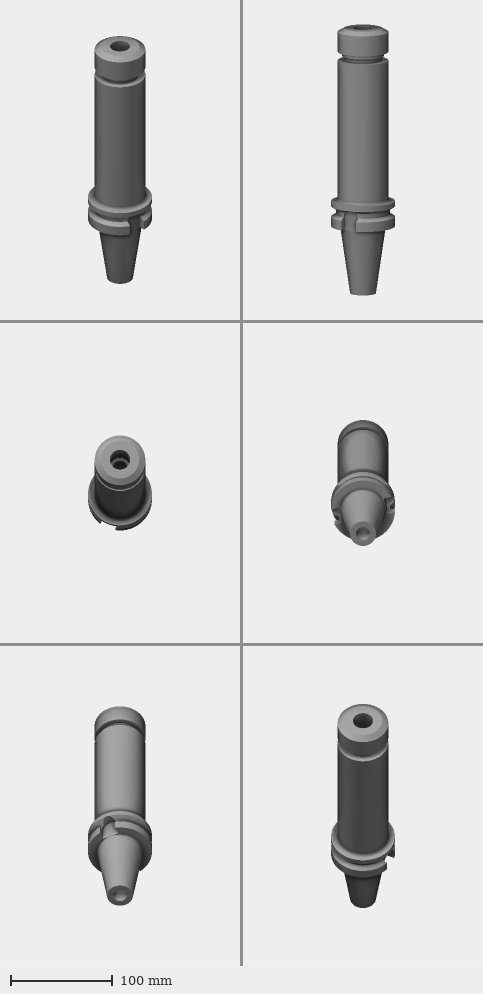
import cadquery as cq
import math

length = 265.5

taper_length = 65.3
gauge_radius = 22.3
taper_ratio = 7 / 24
taper_tip_radius = gauge_radius - taper_length * taper_ratio / 2

flange_radius = 31.45
flange_bottom = 67.1
flange_top = 92.5
groove_radius = 26.5
groove_bottom = 79.5
groove_top = 84.5
groove_angle = 30
groove_rise = (flange_radius - groove_radius) * math.tan(math.radians(groove_angle))

body_radius = 25.0
body_top = 233.3
body_fillet = 3.0

neck_radius = 18.5
neck_top = 236.5
collar_radius = 20.7
collar_bottom = 237.8
nut_bottom = 241.8

nut_radius = body_radius
nut_face_radius = 18.8
nut_cone_height = 3.5

bore_radius = 9.8
bore_depth = 39.8
through_radius = 7.0

slot_width = 16.2
slot_top = 87.5
slot_floor = 22.5


def turned_body():
    fillet_offset = body_fillet * (1 - math.sqrt(0.5))
    profile = (
        cq.Workplane("XZ")
        .lineTo(taper_tip_radius, 0)
        .lineTo(gauge_radius, taper_length)
        .lineTo(gauge_radius, flange_bottom)
        .lineTo(flange_radius, flange_bottom)
        .lineTo(flange_radius, groove_bottom - groove_rise)
        .lineTo(groove_radius, groove_bottom)
        .lineTo(groove_radius, groove_top)
        .lineTo(flange_radius, groove_top + groove_rise)
        .lineTo(flange_radius, flange_top)
        .lineTo(body_radius + body_fillet, flange_top)
        .threePointArc(
            (body_radius + fillet_offset, flange_top + fillet_offset),
            (body_radius, flange_top + body_fillet),
        )
        .lineTo(body_radius, body_top)
        .lineTo(neck_radius, body_top)
        .lineTo(neck_radius, neck_top)
        .lineTo(collar_radius, collar_bottom)
        .lineTo(collar_radius, nut_bottom)
        .lineTo(nut_radius, nut_bottom)
        .lineTo(nut_radius, length - nut_cone_height)
        .lineTo(nut_face_radius, length)
        .lineTo(0, length)
        .close()
    )
    return profile.revolve(360, (0, 0, 0), (0, 1, 0))


def stepped_bore():
    through_hole = cq.Workplane("XY").circle(through_radius).extrude(length)
    bore = cq.Workplane("XY").workplane(offset=length - bore_depth).circle(bore_radius).extrude(bore_depth)
    return through_hole.union(bore)


def drive_slot(side):
    """Round-topped slot, open at the flange underside; side is -1 or +1 along X."""
    half_width = slot_width / 2
    arc_start = slot_top - half_width
    return (
        cq.Workplane("YZ", origin=(side * slot_floor, 0, 0))
        .moveTo(-half_width, flange_bottom)
        .lineTo(half_width, flange_bottom)
        .lineTo(half_width, arc_start)
        .threePointArc((0, slot_top), (-half_width, arc_start))
        .close()
        .extrude(side * flange_radius)
    )


result = turned_body().cut(stepped_bore())
for side in (-1, 1):
    result = result.cut(drive_slot(side))